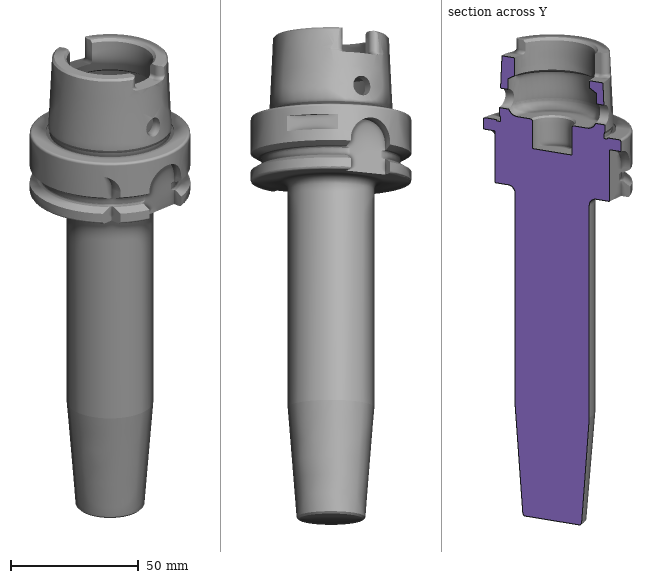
import cadquery as cq
import math

taper_top_z = 32.0
flange_bottom_z = -26.0
tip_z = -160.0
nose_length = 44.5

flange_radius = 31.5
flange_rim_fillet = 1.0
groove_floor_radius = 27.2
groove_floor_top_z = -16.3
groove_floor_bottom_z = -19.9
groove_root_fillet = 0.6
groove_flank_inner_radius = 28.6
groove_flank_angle = 30.0
groove_flank_drop = (flange_radius - groove_flank_inner_radius) * math.tan(math.radians(groove_flank_angle))

gauge_radius = 24.0
gauge_z = 6.3
taper_slope = 0.05
taper_top_edge = 0.8
relief_top_z = 2.2
relief_bottom_z = 1.0
relief_depth = 0.5
face_groove_radius = 25.2
face_groove_depth = 0.5

stem_radius = 17.0
tip_radius = 13.5
tip_edge = 0.8
stem_fillet = 3.0

bore_radius = 17.0
bore_mouth_edge = 1.0
bore_length = 13.0
chamber_radius = 20.0
chamber_shoulder_angle = 30.0
chamber_floor_z = 2.6
chamber_floor_fillet = 4.0
tube_hole_radius = 8.8
tube_hole_edge = 0.7
tube_hole_depth = 12.0

drive_slot_width = 12.54
deep_slot_depth = 9.9
shallow_slot_depth = 5.6
drive_slot_rounding = 2.5
drive_slot_flare_length = 6.0
drive_slot_tangent_z = 26.2
drive_slot_floor_fillet = 1.4
drive_slot_overcut = 1.0

cross_hole_radius = 3.9
cross_hole_z = 9.0

key_slot_radius = 9.0
key_slot_top_z = -4.9
key_slot_floor_x = 26.2

notch_radius = 7.2
notch_arch_z = -12.4
notch_wall_y = -19.55
notch_floor_x = 19.8
flat_distance = 29.75
flat_angle = 135.0
flat_top_z = -4.2
flat_height = 6.0


def taper_radius(z):
    """Outer radius of the taper shank at height z."""
    return gauge_radius + (gauge_z - z) * taper_slope


def revolve_about_z(profile):
    """Full turn of a closed radius-height profile about the part axis."""
    return profile.revolve(360, (0, 0, 0), (0, 1, 0))


def turned_body():
    """Solid of revolution: taper, flange with groove, stem and nose."""
    top_radius = taper_radius(taper_top_z)
    relief_radius = taper_radius(relief_top_z) - relief_depth
    profile = (
        cq.Workplane("XZ")
        .moveTo(0, tip_z)
        .lineTo(tip_radius - tip_edge, tip_z)
        .lineTo(tip_radius, tip_z + tip_edge)
        .lineTo(stem_radius, tip_z + nose_length)
        .lineTo(stem_radius, flange_bottom_z - stem_fillet)
        .radiusArc((stem_radius + stem_fillet, flange_bottom_z), stem_fillet)
        .lineTo(flange_radius - flange_rim_fillet, flange_bottom_z)
        .radiusArc((flange_radius, flange_bottom_z + flange_rim_fillet), -flange_rim_fillet)
        .lineTo(flange_radius, groove_floor_bottom_z - groove_flank_drop)
        .lineTo(groove_flank_inner_radius, groove_floor_bottom_z)
        .lineTo(groove_floor_radius + groove_root_fillet, groove_floor_bottom_z)
        .radiusArc((groove_floor_radius, groove_floor_bottom_z + groove_root_fillet), groove_root_fillet)
        .lineTo(groove_floor_radius, groove_floor_top_z - groove_root_fillet)
        .radiusArc((groove_floor_radius + groove_root_fillet, groove_floor_top_z), groove_root_fillet)
        .lineTo(groove_flank_inner_radius, groove_floor_top_z)
        .lineTo(flange_radius, groove_floor_top_z + groove_flank_drop)
        .lineTo(flange_radius, -flange_rim_fillet)
        .radiusArc((flange_radius - flange_rim_fillet, 0), -flange_rim_fillet)
        .lineTo(face_groove_radius, 0)
        .lineTo(face_groove_radius, -face_groove_depth)
        .lineTo(relief_radius, -face_groove_depth)
        .lineTo(relief_radius, relief_bottom_z)
        .lineTo(taper_radius(relief_top_z), relief_top_z)
        .lineTo(taper_radius(taper_top_z - taper_top_edge), taper_top_z - taper_top_edge)
        .lineTo(top_radius - taper_top_edge, taper_top_z)
        .lineTo(0, taper_top_z)
        .close()
    )
    return revolve_about_z(profile)


def bore():
    """Bore that widens into a chamber, with a coolant tube hole in the chamber floor."""
    bore_end_z = taper_top_z - bore_length
    shoulder_height = (chamber_radius - bore_radius) * math.tan(math.radians(chamber_shoulder_angle))
    profile = (
        cq.Workplane("XZ")
        .moveTo(0, taper_top_z)
        .lineTo(bore_radius + bore_mouth_edge, taper_top_z)
        .lineTo(bore_radius, taper_top_z - bore_mouth_edge)
        .lineTo(bore_radius, bore_end_z)
        .lineTo(chamber_radius, bore_end_z - shoulder_height)
        .lineTo(chamber_radius, chamber_floor_z + chamber_floor_fillet)
        .radiusArc((chamber_radius - chamber_floor_fillet, chamber_floor_z), chamber_floor_fillet)
        .lineTo(tube_hole_radius + tube_hole_edge, chamber_floor_z)
        .lineTo(tube_hole_radius, chamber_floor_z - tube_hole_edge)
        .lineTo(tube_hole_radius, chamber_floor_z - tube_hole_depth)
        .lineTo(0, chamber_floor_z - tube_hole_depth)
        .close()
    )
    return revolve_about_z(profile)


def drive_slot(side, depth):
    """Slot through the taper wall on one X side, its mouth flared by rounded wall ends."""
    half = drive_slot_width / 2
    rounding = drive_slot_rounding
    wall_end_radius = taper_radius(drive_slot_tangent_z)

    center_y = half + rounding
    center_x = math.sqrt((wall_end_radius - rounding) ** 2 - center_y**2)
    azimuth = math.atan2(center_y, center_x)
    tangent_x = wall_end_radius * math.cos(azimuth)
    tangent_y = wall_end_radius * math.sin(azimuth)
    middle_angle = (azimuth - math.pi / 2) / 2
    middle_x = center_x + rounding * math.cos(middle_angle)
    middle_y = center_y + rounding * math.sin(middle_angle)
    flare_x = tangent_x - drive_slot_flare_length * math.sin(azimuth)
    flare_y = tangent_y + drive_slot_flare_length * math.cos(azimuth)
    reach = gauge_radius + drive_slot_flare_length

    outline = (
        cq.Workplane("XY")
        .workplane(offset=taper_top_z - depth)
        .moveTo(0, -half)
        .lineTo(center_x, -half)
        .threePointArc((middle_x, -middle_y), (tangent_x, -tangent_y))
        .lineTo(flare_x, -flare_y)
        .lineTo(reach, -flare_y)
        .lineTo(reach, flare_y)
        .lineTo(flare_x, flare_y)
        .lineTo(tangent_x, tangent_y)
        .threePointArc((middle_x, middle_y), (center_x, half))
        .lineTo(0, half)
        .close()
    )
    cutter = outline.extrude(depth + drive_slot_overcut)
    cutter = cutter.faces("<Z").edges().fillet(drive_slot_floor_fillet)
    if side < 0:
        cutter = cutter.mirror("YZ")
    return cutter


def key_slot(side):
    """Arched slot in the flange, open toward the stem, with a flat floor."""
    arch_z = key_slot_top_z - key_slot_radius
    return (
        cq.Workplane("YZ")
        .workplane(offset=side * key_slot_floor_x)
        .moveTo(-key_slot_radius, flange_bottom_z)
        .lineTo(key_slot_radius, flange_bottom_z)
        .lineTo(key_slot_radius, arch_z)
        .threePointArc((0, key_slot_top_z), (-key_slot_radius, arch_z))
        .close()
        .extrude(side * flange_radius)
    )


def notch():
    """Arched notch that clips the flange rim in the +X, -Y quadrant."""
    center_y = notch_wall_y - notch_radius
    outer_y = center_y - notch_radius
    return (
        cq.Workplane("YZ")
        .workplane(offset=notch_floor_x)
        .moveTo(outer_y, flange_bottom_z)
        .lineTo(notch_wall_y, flange_bottom_z)
        .lineTo(notch_wall_y, notch_arch_z)
        .threePointArc((center_y, notch_arch_z + notch_radius), (outer_y, notch_arch_z))
        .close()
        .extrude(flange_radius)
    )


def chip_flat():
    """Rectangular flat milled into the flange rim."""
    block = cq.Workplane("XY").box(
        flange_radius, 2 * flange_radius, flat_height, centered=(False, True, False)
    )
    block = block.translate((flat_distance, 0, flat_top_z - flat_height))
    return block.rotate((0, 0, 0), (0, 0, 1), flat_angle)


def cross_hole():
    """Round hole along X through both walls of the taper shank."""
    return (
        cq.Workplane("YZ")
        .workplane(offset=-flange_radius)
        .center(0, cross_hole_z)
        .circle(cross_hole_radius)
        .extrude(2 * flange_radius)
    )


result = turned_body().cut(bore())
for slot_side, slot_depth in ((-1, deep_slot_depth), (1, shallow_slot_depth)):
    result = result.cut(drive_slot(slot_side, slot_depth))
    result = result.cut(key_slot(slot_side))
for cutter_part in (notch(), chip_flat(), cross_hole()):
    result = result.cut(cutter_part)